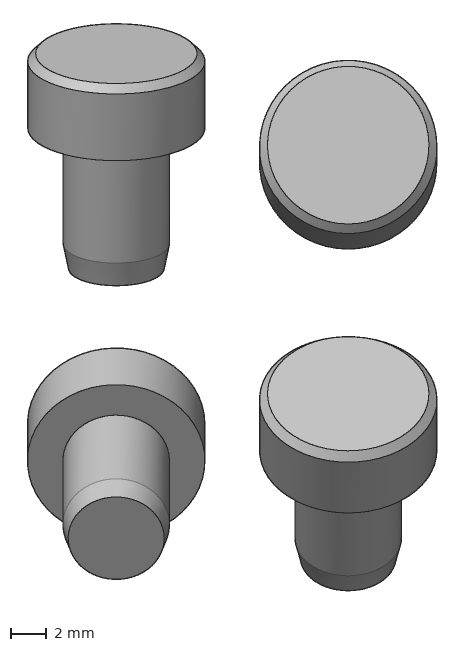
import cadquery as cq

total_height = 13.0
head_diameter = 10.0
head_height = 4.5
head_chamfer = 0.45
shank_diameter = 6.0
tip_height = 1.5
tip_end_diameter = 5.41

head_radius = head_diameter / 2
shank_radius = shank_diameter / 2
tip_end_radius = tip_end_diameter / 2
head_bottom = total_height - head_height

half_section = (
    cq.Workplane("XZ")
    .lineTo(tip_end_radius, 0)
    .lineTo(shank_radius, tip_height)
    .lineTo(shank_radius, head_bottom)
    .lineTo(head_radius, head_bottom)
    .lineTo(head_radius, total_height - head_chamfer)
    .lineTo(head_radius - head_chamfer, total_height)
    .lineTo(0, total_height)
    .close()
)

result = half_section.revolve(360, (0, 0, 0), (0, 1, 0))